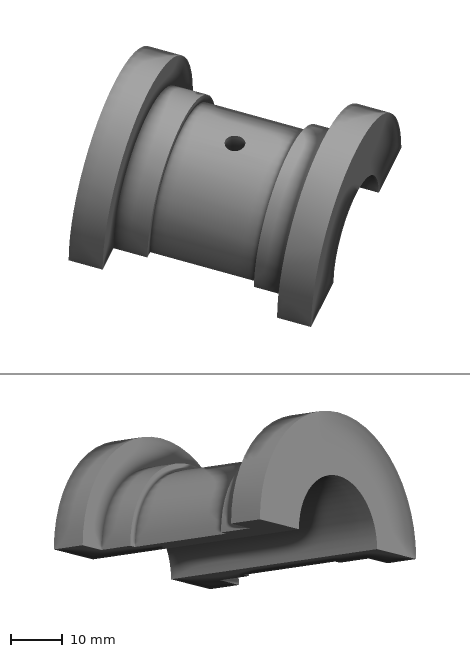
import cadquery as cq

length = 50.0
flange_diameter = 50.0
flange_width = 7.0
collar_diameter = 38.0
collar_width = 7.0
barrel_diameter = 35.0
bore_diameter = 25.0
oil_hole_diameter = 4.0


def cylinder_along_x(diameter, start, width):
    """Solid cylinder on the X axis, from X = start to X = start + width."""
    return cq.Workplane("YZ", origin=(start, 0, 0)).circle(diameter / 2).extrude(width)


def mirrored_rings(diameter, end_offset, width):
    """Pair of discs, each starting end_offset inward from its end of the shell."""
    left = cylinder_along_x(diameter, -length / 2 + end_offset, width)
    return left.union(left.mirror("YZ"))


body = cylinder_along_x(barrel_diameter, -length / 2, length)
body = body.union(mirrored_rings(flange_diameter, 0, flange_width))
body = body.union(mirrored_rings(collar_diameter, flange_width, collar_width))

body = body.cut(cylinder_along_x(bore_diameter, -length / 2, length))

upper_half = cq.Workplane("XY").rect(length, flange_diameter).extrude(flange_diameter / 2)
body = body.intersect(upper_half)

oil_hole = cq.Workplane("XY").circle(oil_hole_diameter / 2).extrude(flange_diameter / 2)
result = body.cut(oil_hole)